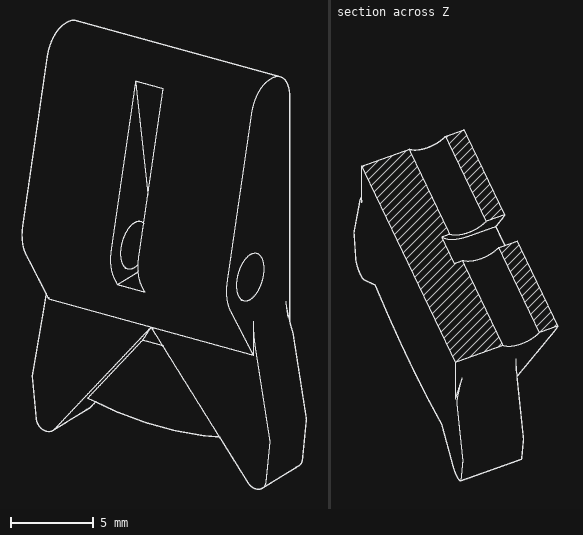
import cadquery as cq
import math


BODY_WIDTH = 15.0
TOP_Z = 12.4
TOP_RADIUS = 2.0
TOP_FLAT = 0.25
NOSE_Y = -6.94
NOSE_RADIUS = 2.6
PIVOT_HOLE_DIAMETER = 3.0

SLOT_WIDTH = 2.0
SLOT_RADIUS = 1.95

LEG_THICKNESS = 4.0
LEG_TOP_Z = -3.1
FOOT_Z = -5.35
FLARE_RADIUS = 10.0
FLARE_ANGLE = 10.0
LEG_WIDTH_OVERALL = 17.44
WIDEST_Z = -10.8
TAPER_ANGLE = 6.0
CROTCH_ANGLE = 39.5
TIP_RADIUS = 0.75
RELIEF_DEPTH = 0.45
RELIEF_HEIGHT = 2.2

WEB_THICKNESS = 3.0
WEB_BOTTOM_Z = -12.4
WEB_RADIUS = 24.0

half_body = BODY_WIDTH / 2
pivot = (NOSE_Y + NOSE_RADIUS, 0.0)
top_center_z = TOP_Z - TOP_RADIUS
back_round_center = (-TOP_RADIUS, top_center_z)
front_round_center = (-TOP_RADIUS - TOP_FLAT, top_center_z)
foot = (-LEG_THICKNESS, FOOT_Z)


def polar(center, radius, angle):
    return (center[0] + radius * math.cos(angle), center[1] + radius * math.sin(angle))


def tangent_angle(center_a, radius_a, center_b, radius_b, side):
    """Angle of the normal shared by two circles at their common outer tangent (radius 0: a point)."""
    dx = center_b[0] - center_a[0]
    dy = center_b[1] - center_a[1]
    spread = math.acos((radius_a - radius_b) / math.hypot(dx, dy))
    return (math.atan2(dy, dx) + side * spread) % (2 * math.pi)


front_angle = tangent_angle(front_round_center, TOP_RADIUS, pivot, NOSE_RADIUS, -1)
front_top = polar(front_round_center, TOP_RADIUS, front_angle)
under_angle = tangent_angle(pivot, NOSE_RADIUS, foot, 0, -1)
under_start = polar(pivot, NOSE_RADIUS, under_angle)


def make_body():
    """Side profile extruded across the full body width, with the pivot hole."""
    under_slope = (foot[1] - under_start[1]) / (foot[0] - under_start[0])
    web_top_z = FOOT_Z + under_slope * (LEG_THICKNESS - WEB_THICKNESS)
    profile = (
        cq.Workplane("YZ")
        .moveTo(0, web_top_z)
        .lineTo(0, top_center_z)
        .threePointArc(polar(back_round_center, TOP_RADIUS, math.pi / 4), (-TOP_RADIUS, TOP_Z))
        .lineTo(front_round_center[0], TOP_Z)
        .threePointArc(
            polar(front_round_center, TOP_RADIUS, (math.pi / 2 + front_angle) / 2),
            front_top,
        )
        .lineTo(*polar(pivot, NOSE_RADIUS, front_angle))
        .threePointArc(
            polar(pivot, NOSE_RADIUS, (front_angle + under_angle) / 2),
            under_start,
        )
        .lineTo(-WEB_THICKNESS, web_top_z)
        .close()
    )
    body = profile.extrude(half_body, both=True)
    hole = (
        cq.Workplane("YZ")
        .center(*pivot)
        .circle(PIVOT_HOLE_DIAMETER / 2)
        .extrude(half_body, both=True)
    )
    return body.cut(hole)


def make_slot():
    """Slot cutter: back wall sloping down to a round about the pivot, then a level floor."""
    wall_angle = tangent_angle(pivot, SLOT_RADIUS, front_top, 0, -1)
    floor_angle = -math.pi / 2
    return (
        cq.Workplane("YZ")
        .moveTo(*front_top)
        .lineTo(*polar(pivot, SLOT_RADIUS, wall_angle))
        .threePointArc(
            polar(pivot, SLOT_RADIUS, (wall_angle + floor_angle) / 2),
            polar(pivot, SLOT_RADIUS, floor_angle),
        )
        .lineTo(NOSE_Y, -SLOT_RADIUS)
        .lineTo(NOSE_Y, front_top[1])
        .close()
        .extrude(SLOT_WIDTH / 2, both=True)
    )


def make_leg():
    """Leg on the +X side, flared out from the body side and rounded at its tip."""
    flare = math.radians(FLARE_ANGLE)
    flare_center = (half_body + FLARE_RADIUS, LEG_TOP_Z)
    half_overall = LEG_WIDTH_OVERALL / 2
    taper = math.tan(math.radians(TAPER_ANGLE))
    crotch = math.tan(math.radians(CROTCH_ANGLE))
    tip_drop = (half_overall + taper * (FOOT_Z - WIDEST_Z)) / (crotch + taper)
    tip = (crotch * tip_drop, FOOT_Z - tip_drop)
    leg = (
        cq.Workplane("XZ")
        .moveTo(0, LEG_TOP_Z)
        .lineTo(half_body, LEG_TOP_Z)
        .threePointArc(
            polar(flare_center, FLARE_RADIUS, math.pi + flare / 2),
            polar(flare_center, FLARE_RADIUS, math.pi + flare),
        )
        .lineTo(half_overall, WIDEST_Z)
        .lineTo(*tip)
        .lineTo(0, FOOT_Z)
        .close()
        .extrude(LEG_THICKNESS)
        .edges(cq.selectors.NearestToPointSelector((tip[0], -LEG_THICKNESS / 2, tip[1])))
        .fillet(TIP_RADIUS)
    )
    relief = (
        cq.Workplane("YZ", origin=(half_body, 0, LEG_TOP_Z))
        .lineTo(-RELIEF_DEPTH, 0)
        .lineTo(0, -RELIEF_HEIGHT)
        .close()
        .extrude(half_overall - half_body)
    )
    return leg.cut(relief)


def make_web():
    """Thin plate between the legs with a round lower edge."""
    edge_rise = WEB_RADIUS - math.sqrt(WEB_RADIUS**2 - half_body**2)
    edge_z = WEB_BOTTOM_Z + edge_rise
    return (
        cq.Workplane("XZ")
        .moveTo(-half_body, FOOT_Z)
        .lineTo(-half_body, edge_z)
        .threePointArc((0, WEB_BOTTOM_Z), (half_body, edge_z))
        .lineTo(half_body, FOOT_Z)
        .close()
        .extrude(WEB_THICKNESS)
    )


right_leg = make_leg()
left_leg = right_leg.mirror("YZ")
result = make_body().cut(make_slot()).union(make_web()).union(right_leg).union(left_leg)